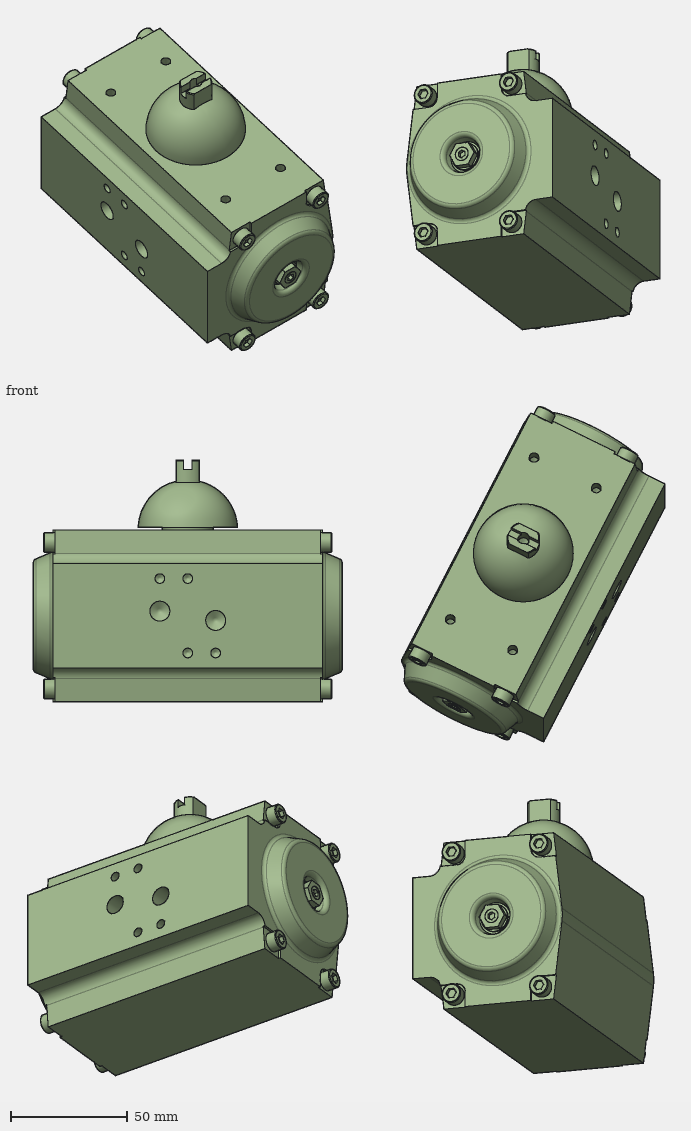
import cadquery as cq
import math

body_height = 74.0
mid_z = body_height / 2
body_half_length = 58.0
top_half_width = 25.1
side_draft = math.radians(7.0)
side_half_width = top_half_width + mid_z * math.tan(side_draft)
ridge_radius = 23.0
port_face_y = -39.0
port_block_half_height = 22.5
port_block_fillet = 5.0

cap_end_x = 66.5
cap_base_radius = 27.65
cap_end_radius = 24.0
cap_flange_radius = 29.2
cap_blend = 2.0

bore_rim_radius = 10.0
bore_throat_radius = 7.9
bore_bottom_radius = 7.0
bore_mouth_blend = bore_rim_radius - bore_throat_radius
bore_depth = 5.0
nut_across_flats = 10.0
nut_washer_diameter = 12.0
nut_washer_height = 1.0
nut_end_x = 66.0
stud_diameter = 6.0
stud_end_x = 66.2
stud_socket_across_flats = 3.0
stud_socket_depth = 2.0
stud_socket_turn = 30.0

screw_y = 20.0
screw_z_offset = 31.5
screw_head_diameter = 8.5
screw_end_x = 62.0
screw_edge_chamfer = 0.4
screw_socket_across_flats = 4.0
screw_socket_depth = 2.0
screw_seat_x = 57.0
screw_seat_half_size = 5.0
screw_seat_corner = 4.0
screw_seat_overrun = 5.0

collar_diameter = 22.0
dome_radius = 21.5
dome_bottom_z = 75.0
spindle_top_z = 104.0
spindle_diameter = 14.0
spindle_across_flats = 10.0
spindle_edge_chamfer = 0.4
slot_width = 3.5
slot_depth = 4.0
spindle_hole_diameter = 4.92
spindle_hole_depth = 10.0

drill_tip_angle = math.radians(118.0)
small_hole_diameter = 4.13
small_hole_depth = 8.0
port_diameter = 8.57
port_depth = 10.0
port_pitch = 12.0
port_z_offset = 2.0
port_screw_z_offset = 16.0
top_hole_x = 40.0
top_hole_y = 15.0
into_port_face = (0, 1, 0)
down = (0, 0, -1)


def make_body():
    """Barrel-sided bar with the port block on -Y, its inner corners filleted."""
    section = (
        cq.Workplane("YZ")
        .moveTo(top_half_width, body_height)
        .lineTo(side_half_width, mid_z)
        .lineTo(top_half_width, 0)
        .lineTo(-top_half_width, 0)
        .lineTo(-side_half_width, mid_z)
        .lineTo(-top_half_width, body_height)
        .close()
        .extrude(body_half_length, both=True)
        .edges(cq.selectors.NearestToPointSelector((0, side_half_width, mid_z)))
        .fillet(ridge_radius)
    )
    block = (
        cq.Workplane("XY")
        .box(2 * body_half_length, -port_face_y, 2 * port_block_half_height)
        .translate((0, port_face_y / 2, mid_z))
    )
    body = section.union(block)
    for side in (-1, 1):
        corner_z = mid_z + side * port_block_half_height
        corner_y = -side_half_width + port_block_half_height * math.tan(side_draft)
        corner = cq.selectors.NearestToPointSelector((0, corner_y, corner_z))
        body = body.edges(corner).fillet(port_block_fillet)
    return body


def drill(point, direction, diameter, depth):
    """Cutter for a blind drilled hole with a conical tip, entering at point along direction."""
    radius = diameter / 2
    tip_depth = depth + radius / math.tan(drill_tip_angle / 2)
    profile = cq.Workplane("XZ").polyline([(0, 0), (radius, 0), (radius, depth), (0, tip_depth)]).close()
    cutter = profile.revolve(360, (0, 0, 0), (0, 1, 0)).val()
    return cq.Workplane(cutter.moved(cq.Plane(origin=point, normal=direction).location))


def hexagon(across_flats, height):
    """A hexagonal prism along +X from the YZ plane, with corners pointing along Y."""
    across_corners = across_flats / math.cos(math.pi / 6)
    return cq.Workplane("YZ").polygon(6, across_corners).extrude(height)


def rod(diameter, height):
    """A cylinder along +X from the YZ plane."""
    return cq.Workplane("YZ").circle(diameter / 2).extrude(height)


def make_cap():
    """Conical cap on the +X end, rounded at its rim and flared where it meets the body."""
    cap = (
        cq.Workplane("XY")
        .moveTo(screw_seat_x, 0)
        .lineTo(screw_seat_x, cap_flange_radius)
        .lineTo(body_half_length, cap_flange_radius)
        .lineTo(body_half_length, cap_base_radius)
        .lineTo(cap_end_x, cap_end_radius)
        .lineTo(cap_end_x, 0)
        .close()
        .revolve(360, (0, 0, 0), (1, 0, 0))
    )
    root = cq.selectors.NearestToPointSelector((body_half_length, 0, cap_base_radius))
    return cap.faces(">X").edges().fillet(cap_blend).edges(root).fillet(cap_blend)


def make_cap_bore():
    """Bore cut into the +X cap: rounded mouth, tapered wall, flat floor."""
    floor_x = cap_end_x - bore_depth
    throat_x = cap_end_x - bore_mouth_blend
    diagonal = bore_mouth_blend * math.sqrt(0.5)
    arc_middle = (throat_x + diagonal, bore_rim_radius - diagonal)
    return (
        cq.Workplane("XY")
        .moveTo(floor_x, 0)
        .lineTo(floor_x, bore_bottom_radius)
        .lineTo(throat_x, bore_throat_radius)
        .threePointArc(arc_middle, (cap_end_x, bore_rim_radius))
        .lineTo(cap_end_x, 0)
        .close()
        .revolve(360, (0, 0, 0), (1, 0, 0))
    )


def make_stroke_stop():
    """Washer, hexagon nut and socketed stud standing in the +X bore."""
    floor_x = cap_end_x - bore_depth
    washer = rod(nut_washer_diameter, floor_x + nut_washer_height)
    nut = hexagon(nut_across_flats, nut_end_x)
    stud = rod(stud_diameter, stud_end_x)
    socket = hexagon(stud_socket_across_flats, stud_socket_depth)
    socket = socket.rotate((0, 0, 0), (1, 0, 0), stud_socket_turn)
    return washer.union(nut).union(stud).cut(socket.translate((stud_end_x - stud_socket_depth, 0, 0)))


def make_screw():
    """Cap screw head on the X axis, reaching inward into the body."""
    head = rod(screw_head_diameter, screw_end_x).faces(">X").edges().chamfer(screw_edge_chamfer)
    socket = hexagon(screw_socket_across_flats, screw_socket_depth)
    return head.cut(socket.translate((screw_end_x - screw_socket_depth, 0, 0)))


def make_screw_seat():
    """Corner pocket around a screw on the X axis, open toward +Y and +Z."""
    size = screw_seat_half_size + body_height - mid_z - screw_z_offset + screw_seat_overrun
    depth = body_half_length - screw_seat_x
    return (
        cq.Workplane("XY")
        .box(depth, size, size, centered=False)
        .edges("|X and <Y and <Z")
        .fillet(screw_seat_corner)
        .translate((screw_seat_x, -screw_seat_half_size, -screw_seat_half_size))
    )


def at_screws(tool):
    """Copies of a +X, +Y, +Z corner tool at the four screws of the +X end."""
    corner = tool.translate((0, screw_y, screw_z_offset))
    pair = corner.union(corner.mirror("XZ"))
    return pair.union(pair.mirror("XY"))


def both_ends(tool):
    """A +X end tool about the X axis, raised to the body axis and mirrored to -X."""
    raised = tool.translate((0, 0, mid_z))
    return raised.union(raised.mirror("YZ"))


def make_ends(body):
    """Screw seats, caps, bores, stroke stops and screws on both ends of the body."""
    body = body.cut(both_ends(at_screws(make_screw_seat())))
    body = body.union(both_ends(make_cap()))
    body = body.cut(both_ends(make_cap_bore()))
    body = body.union(both_ends(make_stroke_stop()))
    return body.union(both_ends(at_screws(make_screw())))


def make_indicator():
    """Collar, dome and slotted drive spindle on the Z axis."""
    collar = cq.Workplane("XY").circle(collar_diameter / 2).extrude(dome_bottom_z)
    dome = cq.Workplane("XY").sphere(dome_radius).translate((0, 0, body_height))
    above = cq.Workplane("XY").workplane(offset=dome_bottom_z).circle(dome_radius).extrude(dome_radius)
    dome = dome.intersect(above)
    spindle = (
        cq.Workplane("XY")
        .circle(spindle_diameter / 2)
        .extrude(spindle_top_z)
        .faces(">Z")
        .edges()
        .chamfer(spindle_edge_chamfer)
    )
    flats = cq.Workplane("XY").rect(spindle_across_flats, spindle_diameter).extrude(spindle_top_z)
    slot_z = spindle_top_z - slot_depth
    slot = cq.Workplane("XY").workplane(offset=slot_z).rect(slot_width, spindle_diameter).extrude(slot_depth)
    hole = drill((0, 0, spindle_top_z), down, spindle_hole_diameter, spindle_hole_depth)
    indicator = collar.union(dome).union(spindle.intersect(flats))
    return indicator.cut(slot).cut(hole)


def drill_port_face(body):
    """Two air ports and their four fixing holes on the -Y face, in point symmetry."""
    for side in (-1, 1):
        port = (side * port_pitch, port_face_y, mid_z - side * port_z_offset)
        body = body.cut(drill(port, into_port_face, port_diameter, port_depth))
        for x in (0, side * port_pitch):
            point = (x, port_face_y, mid_z - side * port_screw_z_offset)
            body = body.cut(drill(point, into_port_face, small_hole_diameter, small_hole_depth))
    return body


def drill_top_face(body):
    """Four mounting holes around the dome."""
    for x in (-top_hole_x, top_hole_x):
        for y in (-top_hole_y, top_hole_y):
            point = (x, y, body_height)
            body = body.cut(drill(point, down, small_hole_diameter, small_hole_depth))
    return body


actuator = make_ends(make_body()).union(make_indicator())
actuator = drill_port_face(actuator)
result = drill_top_face(actuator)